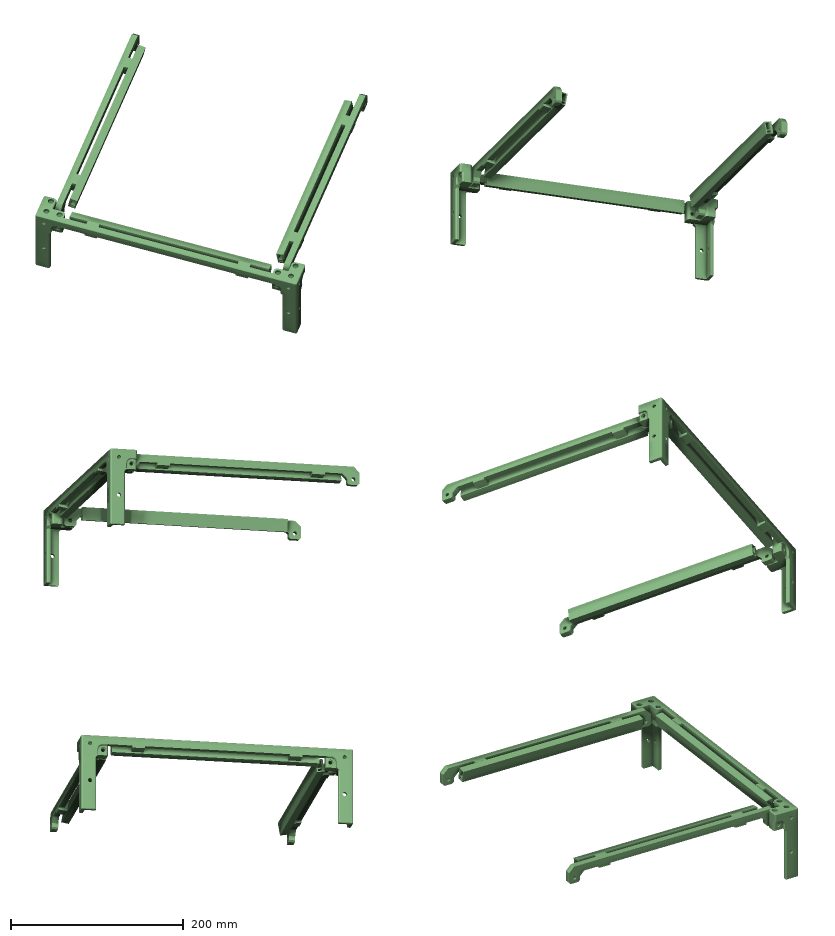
import cadquery as cq
import math

FRAME_WIDTH = 320.0
FRAME_DEPTH = 301.5
FRAME_HEIGHT = 90.0
BAR_THICKNESS = 7.5
BAR_BOTTOM = 80.0

LEG_WIDTH = 17.5
LEG_WALL = 4.5
LEG_EDGE_FILLET = 2.0
LEG_FLARE = 2.5
ARM_THICKNESS = 16.0
ARM_LENGTH = 32.0
ARM_BOTTOM = 67.2
ARM_INNER_FILLET = 4.0
ARM_OUTER_FILLET = 2.2
CORNER_FILLET = 2.0
EDGE_CHAMFER = 0.5
TOP_HOLE_DIAMETER = 7.0
TOP_HOLE_DEPTH = 3.2
NEAR_HOLE_OFFSET = 10.2
FAR_HOLE_OFFSET = 26.2
LEG_HOLE_DIAMETER = 4.8
LEG_HOLE_HEIGHT = 35.2
DRILLED_HOLE_HEIGHT = 80.0
DRILLED_HOLE_DEPTH = 3.2
DRILL_POINT_ANGLE = 118.0
BOLT_HOLE_DIAMETER = 4.5
BOLT_SEAT_DIAMETER = 6.0
BOLT_SEAT_DEPTH = 2.0
BOLT_HEIGHT = 74.0
RECESS_START = 20.0
RECESS_TOP = 79.0
RECESS_DEPTH = 3.0
RECESS_FILLET = 5.8
RECESS_CHAMFER = 1.0

SIDE_BAR_INSET = 17.0
SIDE_BAR_TOP = 89.0
SIDE_BAR_FRONT = 19.2
HOOK_WIDTH = 14.5
HOOK_CHAMFER = 2.0
BAR_END_CHAMFER = 6.7
SIDE_BOLT_HOLE_DIAMETER = 4.8

TILT = math.radians(10.0)
RAIL_WIDTH = 9.0
RAIL_HEIGHT = 15.0
RAIL_LENGTH = 244.0
RAIL_WALL = 1.3
RAIL_BASE = 2.5
WEB_BELOW_AXIS = 3.2
RAIL_GAP = 2.5
RAIL_CENTRE_HEIGHT = 80.5
HOLDER_WIDTH = 14.7
HOLDER_SPACING = 185.0
HOLDER_BELOW_AXIS = 5.8
PEG_HOLE_DIAMETER = 4.8
PEG_HOLE_FLOOR = 1.12

SELECT_MARGIN = 0.3

SIDE_BAR_LENGTH = FRAME_DEPTH - SIDE_BAR_FRONT
SIDE_BAR_MIDDLE = SIDE_BAR_FRONT + SIDE_BAR_LENGTH / 2
HALF_WIDTH = RAIL_WIDTH / 2
HALF_HEIGHT = RAIL_HEIGHT / 2
BASE_PLANE = RAIL_BASE - HALF_WIDTH
COVER_PLANE = HALF_WIDTH - RAIL_WALL
SLOT_TOP = HALF_HEIGHT - RAIL_WALL
RAIL_REACH = RAIL_WIDTH * math.cos(TILT) + RAIL_HEIGHT * math.sin(TILT)
RAIL_CENTRE_DEPTH = BAR_THICKNESS + RAIL_GAP + RAIL_REACH / 2


def tilted_point(inward, upward):
    """Depth and height of a point given in the tilted axes of the rail, from the rail centre."""
    depth = RAIL_CENTRE_DEPTH + inward * math.cos(TILT) + upward * math.sin(TILT)
    height = RAIL_CENTRE_HEIGHT - inward * math.sin(TILT) + upward * math.cos(TILT)
    return depth, height


def long_prism(points, length):
    """Extrude a depth-height outline along X, centred on X = 0."""
    return cq.Workplane("YZ").polyline(points).close().extrude(length / 2, both=True)


def tilted_box(inward_range, upward_range, length):
    """Long bar with a rectangular section in the tilted axes of the rail."""
    (i0, i1), (u0, u1) = inward_range, upward_range
    corners = [(i0, u0), (i1, u0), (i1, u1), (i0, u1)]
    return long_prism([tilted_point(i, u) for i, u in corners], length)


def holder(bar_top):
    bottom = tilted_point(-HALF_WIDTH, -HOLDER_BELOW_AXIS)
    rise_to_top = (bar_top - tilted_point(-HALF_WIDTH, 0)[1]) / math.cos(TILT)
    front_bottom = (0, bottom[1] + bottom[0] * math.tan(TILT))
    outline = [front_bottom, bottom, tilted_point(-HALF_WIDTH, rise_to_top), (0, bar_top)]
    return long_prism(outline, HOLDER_WIDTH)


def peg_hole():
    """Blind hole square to the rail, stopping just short of the outer face of the bar."""
    depth, height = tilted_point(-HALF_WIDTH, 0)
    length = (depth - PEG_HOLE_FLOOR) / math.cos(TILT)
    outward = cq.Vector(0, -math.cos(TILT), math.sin(TILT))
    start = cq.Vector(0, depth, height)
    return cq.Workplane(obj=cq.Solid.makeCylinder(PEG_HOLE_DIAMETER / 2, length, start, outward))


def add_holders(bar, bar_top):
    for x in (-HOLDER_SPACING / 2, HOLDER_SPACING / 2):
        bar = bar.union(holder(bar_top).translate((x, 0, 0)))
        bar = bar.cut(peg_hole().translate((x, 0, 0)))
    return bar


def bolt_recess():
    """Recess in the front face of an arm, open at the end and at the bottom of the arm."""
    recess = cq.Workplane("XY").box(ARM_LENGTH, RECESS_DEPTH, RECESS_TOP - ARM_BOTTOM, centered=False)
    recess = recess.edges("|Y and <X and >Z").fillet(RECESS_FILLET)
    return recess.translate((RECESS_START, 0, ARM_BOTTOM))


def corner_arm():
    """Arm of the corner along +X, with the bolt recess in its front face."""
    height = FRAME_HEIGHT - ARM_BOTTOM
    arm = cq.Workplane("XY").box(ARM_LENGTH, ARM_THICKNESS, height, centered=False)
    arm = arm.translate((0, 0, ARM_BOTTOM)).cut(bolt_recess())
    rim = cq.selectors.BoxSelector(
        (RECESS_START - SELECT_MARGIN, -SELECT_MARGIN, ARM_BOTTOM + SELECT_MARGIN),
        (ARM_LENGTH - SELECT_MARGIN, SELECT_MARGIN, RECESS_TOP + SELECT_MARGIN),
    )
    arm = arm.faces("<Y").edges(rim).chamfer(RECESS_CHAMFER)
    arm = arm.edges("|Z and >X and >Y").fillet(ARM_INNER_FILLET)
    recess_end = cq.selectors.BoxSelector(
        (ARM_LENGTH - SELECT_MARGIN, RECESS_DEPTH - SELECT_MARGIN, ARM_BOTTOM),
        (ARM_LENGTH + SELECT_MARGIN, RECESS_DEPTH + SELECT_MARGIN, RECESS_TOP),
    )
    arm = arm.edges("|Z").edges(recess_end).fillet(ARM_OUTER_FILLET)
    return arm.edges("|Z and >X and <Y").fillet(ARM_OUTER_FILLET)


def leg_plate():
    """Front plate of the angle-section leg, flared where it meets the arm."""
    outline = [
        (0, 0),
        (LEG_WIDTH, 0),
        (LEG_WIDTH, ARM_BOTTOM - LEG_FLARE),
        (LEG_WIDTH + LEG_FLARE, ARM_BOTTOM),
        (0, ARM_BOTTOM),
    ]
    plate = cq.Workplane("XZ").polyline(outline).close().extrude(-LEG_WALL)
    return plate.edges("|Z and <Y and (not <X)").fillet(LEG_EDGE_FILLET)


def drilled_hole(diameter, depth):
    """Blind hole along +Y from Y = 0, ending in a drill point."""
    radius = diameter / 2
    point = radius / math.tan(math.radians(DRILL_POINT_ANGLE / 2))
    outline = [(0, 0), (radius, 0), (radius, depth), (0, depth + point)]
    return cq.Workplane("XY").polyline(outline).close().revolve(360, (0, 0), (0, 1))


def bore(x, z, diameter, depth):
    """Flat-ended hole along +Y from Y = 0."""
    return cq.Workplane("XZ").center(x, z).circle(diameter / 2).extrude(-depth)


def front_holes():
    """Holes that enter a corner through its front face."""
    bolt = bore(FAR_HOLE_OFFSET, BOLT_HEIGHT, BOLT_HOLE_DIAMETER, ARM_THICKNESS)
    seat = bore(FAR_HOLE_OFFSET, BOLT_HEIGHT, BOLT_SEAT_DIAMETER, RECESS_DEPTH + BOLT_SEAT_DEPTH)
    leg = bore(NEAR_HOLE_OFFSET, LEG_HOLE_HEIGHT, LEG_HOLE_DIAMETER, LEG_WALL)
    drilled = drilled_hole(LEG_HOLE_DIAMETER, DRILLED_HOLE_DEPTH)
    drilled = drilled.translate((NEAR_HOLE_OFFSET, 0, DRILLED_HOLE_HEIGHT))
    return bolt.union(seat).union(leg).union(drilled)


def swap_x_and_y(shape):
    """Reflect in the diagonal plane X = Y."""
    return shape.rotate((0, 0, 0), (0, 0, 1), -90).mirror("XZ")


def corner():
    """Left corner with its outer edge on the Z axis."""
    side = corner_arm().union(leg_plate())
    body = side.union(swap_x_and_y(side))
    holes = front_holes()
    body = body.cut(holes).cut(swap_x_and_y(holes))
    top_places = [
        (NEAR_HOLE_OFFSET, NEAR_HOLE_OFFSET),
        (FAR_HOLE_OFFSET, NEAR_HOLE_OFFSET),
        (NEAR_HOLE_OFFSET, FAR_HOLE_OFFSET),
    ]
    top_holes = (
        cq.Workplane("XY", origin=(0, 0, FRAME_HEIGHT))
        .pushPoints(top_places)
        .circle(TOP_HOLE_DIAMETER / 2)
        .extrude(-TOP_HOLE_DEPTH)
    )
    return body.cut(top_holes)


def front_frame():
    left = corner().translate((-FRAME_WIDTH / 2, 0, 0))
    bar_length = FRAME_WIDTH - 2 * (ARM_LENGTH - ARM_OUTER_FILLET)
    bar = cq.Workplane("XY").box(
        bar_length, BAR_THICKNESS, FRAME_HEIGHT - BAR_BOTTOM, centered=(True, False, False)
    )
    bar = bar.translate((0, 0, BAR_BOTTOM))
    frame = bar.union(left).union(left.mirror("YZ"))
    frame = add_holders(frame, FRAME_HEIGHT)
    frame = frame.edges("|Z and <Y and (<X or >X)").fillet(CORNER_FILLET)
    frame = frame.faces(">Z").edges("<X or >X or <Y").chamfer(EDGE_CHAMFER)
    return frame.faces("<Z").edges("<X or >X or <Y").chamfer(EDGE_CHAMFER)


def side_bar():
    half = SIDE_BAR_LENGTH / 2
    hook_start = half - HOOK_WIDTH
    right_half = [
        (hook_start - (BAR_BOTTOM - BOLT_HEIGHT), BAR_BOTTOM),
        (hook_start, BOLT_HEIGHT),
        (hook_start, ARM_BOTTOM + HOOK_CHAMFER),
        (hook_start + HOOK_CHAMFER, ARM_BOTTOM),
        (half - HOOK_CHAMFER, ARM_BOTTOM),
        (half, ARM_BOTTOM + HOOK_CHAMFER),
        (half, SIDE_BAR_TOP - BAR_END_CHAMFER),
        (half - BAR_END_CHAMFER, SIDE_BAR_TOP),
    ]
    left_half = [(-x, z) for x, z in reversed(right_half)]
    bar = cq.Workplane("XZ").polyline(right_half + left_half).close().extrude(-BAR_THICKNESS)
    bolt_x = half - (FAR_HOLE_OFFSET - SIDE_BAR_FRONT)
    bolts = (
        cq.Workplane("XZ")
        .pushPoints([(-bolt_x, BOLT_HEIGHT), (bolt_x, BOLT_HEIGHT)])
        .circle(SIDE_BOLT_HOLE_DIAMETER / 2)
        .extrude(-BAR_THICKNESS)
    )
    return add_holders(bar.cut(bolts), SIDE_BAR_TOP)


def rail_channel():
    body = tilted_box((-HALF_WIDTH, HALF_WIDTH), (-HALF_HEIGHT, HALF_HEIGHT), RAIL_LENGTH)
    slot = tilted_box((BASE_PLANE, HALF_WIDTH), (-SLOT_TOP, SLOT_TOP), RAIL_LENGTH)
    web_top = RAIL_WALL / 2 - WEB_BELOW_AXIS
    web = tilted_box((BASE_PLANE, COVER_PLANE), (web_top - RAIL_WALL, web_top), RAIL_LENGTH)
    return body.cut(slot).union(web)


def rail_cover():
    return tilted_box((COVER_PLANE, HALF_WIDTH), (-SLOT_TOP, SLOT_TOP), RAIL_LENGTH)


def on_left(shape):
    """Turn a part built along the front so that it runs along the left side."""
    turned = shape.rotate((0, 0, 0), (0, 0, 1), -90)
    return turned.translate((SIDE_BAR_INSET - FRAME_WIDTH / 2, SIDE_BAR_MIDDLE, 0))


bodies = [front_frame(), rail_channel(), rail_cover()]
for make_part in (side_bar, rail_channel, rail_cover):
    left_part = on_left(make_part())
    bodies += [left_part, left_part.mirror("YZ")]

result = cq.Compound.makeCompound([body.val() for body in bodies])